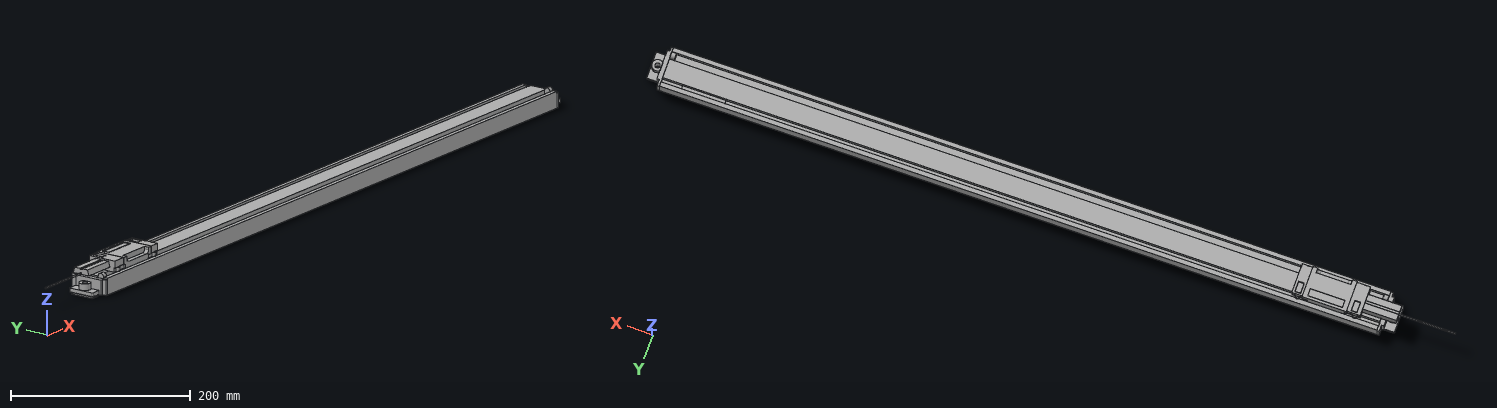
import cadquery as cq

assembly_length = 950.0
rail_length = 847.0
rail_width = 47.5
rail_bottom = 2.0
rail_top = 22.0
channel_width = 37.0
channel_floor = 15.0
strip_front = -9.5
strip_rear = 13.0
strip_top = 22.0

mark_left = 857.0
mark_length = 51.0
mark_height = 1.0

cap_reach = 18.0
plate_thickness = 3.0
plate_top = 20.0
flange_thickness = 3.0
flange_front = -19.0
flange_rear = 16.0
foot_width = 32.0
foot_top = 8.0
foot_corner_radius = 1.4
pad_width = 28.5
pad_inset = 2.0
pad_height = 3.0
boss_diameter = 13.0
boss_inset = 1.0
boss_top = 15.0
mount_hole_diameter = 6.0
lug_length = 6.0
lug_width = 8.0
lug_y = -14.0
lug_top = 26.0

head_left = 106.0
head_length = 81.0
head_width = 37.0
head_top = 35.0
base_top = 27.0
base_inset = 2.0
plinth_length = 44.0
stud_diameter = 6.0
stud_end_distance = 7.0
cover_left = 123.0
cover_length = 52.0
ear_inset = 1.0
ear_drop = 0.2
ear_pocket_length = 7.0
ear_pocket_front = 3.0
ear_pocket_rear = 15.0
ear_pocket_depth = 3.0
scoop_length = 41.0
scoop_depth = 6.0
scoop_floor = 28.5
scoop_corner_radius = 4.0
label_length = 41.0
label_front = 7.0
label_rear = 15.0
label_depth = 1.0
boot_bottom = 27.0
boot_top = 33.0
boot_bottom_width = 22.0
boot_top_width = 18.0
seam_width = 3.0
seam_depth = 1.0
cable_diameter = 2.0
cable_z = 28.0

rail_left = assembly_length - cap_reach - rail_length
mid_x = rail_left + rail_length / 2
cap_left = rail_left - cap_reach
channel_half = channel_width / 2
head_mid_x = head_left + head_length / 2
cover_mid_x = cover_left + cover_length / 2
cover_right = cover_left + cover_length
head_right = head_left + head_length


def block(x_min, x_max, y_min, y_max, z_min, z_max):
    """Box given by its lowest and highest X, Y and Z."""
    return (
        cq.Workplane("XY")
        .box(x_max - x_min, y_max - y_min, z_max - z_min, centered=False)
        .translate((x_min, y_min, z_min))
    )


def centered_block(x_min, x_max, width, z_min, z_max):
    """Box centred on the XZ plane."""
    return block(x_min, x_max, -width / 2, width / 2, z_min, z_max)


def upright_cylinder(x, y, diameter, z_min, z_max):
    """Cylinder with a vertical axis."""
    return (
        cq.Workplane("XY", origin=(x, y, z_min)).circle(diameter / 2).extrude(z_max - z_min)
    )


def make_rail():
    """Extruded rail with its channel, scale strip and reference mark."""
    section = [
        (-rail_width / 2, rail_bottom),
        (rail_width / 2, rail_bottom),
        (rail_width / 2, rail_top),
        (channel_half, rail_top),
        (channel_half, channel_floor),
        (strip_rear, channel_floor),
        (strip_rear, strip_top),
        (strip_front, strip_top),
        (strip_front, channel_floor),
        (-channel_half, channel_floor),
        (-channel_half, rail_top),
        (-rail_width / 2, rail_top),
    ]
    body = cq.Workplane("YZ", origin=(rail_left, 0, 0)).polyline(section).close().extrude(rail_length)
    mark = block(
        mark_left, mark_left + mark_length,
        strip_rear, channel_half,
        channel_floor, channel_floor + mark_height,
    )
    return body.union(mark)


def make_lug():
    """Lug with a half-round top along X, standing on the channel floor against the end plate."""
    radius = lug_width / 2
    shoulder = lug_top - radius
    return (
        cq.Workplane("YZ", origin=(rail_left, 0, 0))
        .moveTo(lug_y - radius, channel_floor)
        .lineTo(lug_y + radius, channel_floor)
        .lineTo(lug_y + radius, shoulder)
        .threePointArc((lug_y, lug_top), (lug_y - radius, shoulder))
        .close()
        .extrude(lug_length)
    )


def make_foot(x_max):
    """Mounting foot on a smaller pad, with a drilled boss at its outer end."""
    boss_x = cap_left + boss_inset + boss_diameter / 2
    foot = (
        centered_block(cap_left, x_max, foot_width, pad_height, foot_top)
        .edges("|Z and <X")
        .fillet(foot_corner_radius)
    )
    pad = centered_block(cap_left + pad_inset, x_max, pad_width, 0, pad_height)
    boss = upright_cylinder(boss_x, 0, boss_diameter, pad_height, boss_top)
    hole = upright_cylinder(boss_x, 0, mount_hole_diameter, 0, boss_top)
    return foot.union(pad).union(boss).cut(hole)


def make_left_cap():
    """End cap at the low X end of the rail."""
    plate_left = rail_left - plate_thickness
    flange_left = plate_left - flange_thickness
    plate = centered_block(plate_left, rail_left, rail_width, rail_bottom, plate_top)
    flange = block(flange_left, plate_left, flange_front, flange_rear, rail_bottom, plate_top)
    return make_foot(flange_left).union(flange).union(plate).union(make_lug())


def make_right_cap(left_cap):
    """Mirror image of the left cap at the other end of the rail."""
    return left_cap.mirror("YZ", (mid_x, 0, 0))


def make_head_base():
    """Base under the housing: a narrow plate, a wider central plinth and corner studs."""
    base = centered_block(head_left, head_right, head_width - 2 * base_inset, rail_top, base_top)
    plinth = centered_block(
        head_mid_x - plinth_length / 2, head_mid_x + plinth_length / 2,
        head_width, rail_top, base_top,
    )
    base = base.union(plinth)
    for x in (head_left + stud_end_distance, head_right - stud_end_distance):
        for side in (-1, 1):
            stud_y = side * (head_width / 2 - base_inset)
            base = base.union(upright_cylinder(x, stud_y, stud_diameter, rail_top, base_top))
    return base


def make_housing():
    """Housing: a cover with finger scoop and label recess between two smaller ears."""
    housing = centered_block(cover_left, cover_right, head_width, base_top, head_top)
    scoop = (
        cq.Workplane("XY")
        .box(scoop_length, 2 * scoop_depth, 2 * (head_top - scoop_floor))
        .edges("|Y and <Z")
        .fillet(scoop_corner_radius)
        .translate((cover_mid_x, -head_width / 2, head_top))
    )
    label = block(
        cover_mid_x - label_length / 2, cover_mid_x + label_length / 2,
        label_front, label_rear,
        head_top - label_depth, head_top,
    )
    housing = housing.cut(scoop).cut(label)
    ear_top = head_top - ear_drop
    for x_min, x_max in ((head_left, cover_left), (cover_right, head_right)):
        ear = centered_block(x_min, x_max, head_width - 2 * ear_inset, base_top, ear_top)
        pocket_mid = (x_min + x_max) / 2
        pocket = block(
            pocket_mid - ear_pocket_length / 2, pocket_mid + ear_pocket_length / 2,
            ear_pocket_front, ear_pocket_rear,
            ear_top - ear_pocket_depth, ear_top,
        )
        housing = housing.union(ear.cut(pocket))
    return housing


def make_boot():
    """Cable boot with sloping sides and a seam groove along its top."""
    section = [
        (-boot_bottom_width / 2, boot_bottom),
        (boot_bottom_width / 2, boot_bottom),
        (boot_top_width / 2, boot_top),
        (-boot_top_width / 2, boot_top),
    ]
    boot = (
        cq.Workplane("YZ", origin=(cap_left, 0, 0))
        .polyline(section)
        .close()
        .extrude(head_left - cap_left)
    )
    seam = centered_block(cap_left, head_left, seam_width, boot_top - seam_depth, boot_top)
    return boot.cut(seam)


def make_head():
    """Reading head riding on the rail, with its cable boot and cable."""
    cable = (
        cq.Workplane("YZ", origin=(0, 0, cable_z)).circle(cable_diameter / 2).extrude(head_left)
    )
    return make_head_base().union(make_housing()).union(make_boot()).union(cable)


rail = make_rail()
left_cap = make_left_cap()
right_cap = make_right_cap(left_cap)
head = make_head()

result = cq.Compound.makeCompound([rail.val(), left_cap.val(), right_cap.val(), head.val()])